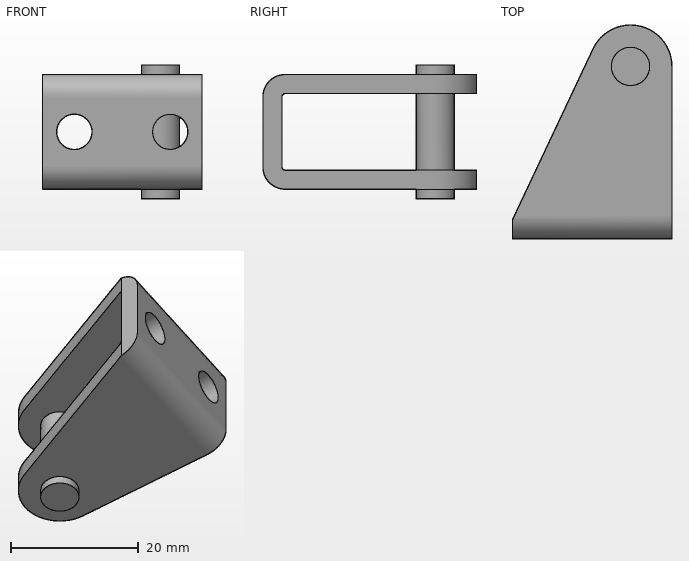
import cadquery as cq
import math

width = 25.0
length = 33.5
height = 18.0
thickness = 3.0
outer_bend_radius = 3.5
inner_bend_radius = 0.5

lug_radius = 6.5
pin_x = width - lug_radius
pin_y = length - lug_radius
pin_diameter = 6.0
pin_length = 21.0

hole_diameter = 5.5
hole_spacing = 15.0
first_hole_x = 5.0


def channel():
    """U-shaped bent plate, open toward +Y and symmetric about Z = 0."""
    outer = (
        cq.Workplane("XY")
        .box(width, length, height, centered=(False, False, True))
        .edges("|X and <Y")
        .fillet(outer_bend_radius)
    )
    inner = (
        cq.Workplane("XY")
        .box(width, length, height - 2 * thickness, centered=(False, False, True))
        .translate((0, thickness, 0))
        .edges("|X and <Y")
        .fillet(inner_bend_radius)
    )
    return outer.cut(inner)


def lug_outline():
    """Plan outline: square base, sloping side tangent to the rounded end."""
    slope_start_y = thickness
    center_distance = math.hypot(pin_x, pin_y - slope_start_y)
    angle_to_start = math.atan2(pin_y - slope_start_y, pin_x) + math.pi
    tangent_angle = angle_to_start - math.acos(lug_radius / center_distance)
    tangent_x = pin_x + lug_radius * math.cos(tangent_angle)
    tangent_y = pin_y + lug_radius * math.sin(tangent_angle)
    return (
        cq.Workplane("XY")
        .moveTo(0, 0)
        .lineTo(width, 0)
        .lineTo(width, pin_y)
        .threePointArc((pin_x, length), (tangent_x, tangent_y))
        .lineTo(0, slope_start_y)
        .close()
        .extrude(height / 2, both=True)
    )


def mounting_holes():
    """Two cutters along Y, just deep enough to pass through the web."""
    return (
        cq.Workplane("XZ")
        .pushPoints([(first_hole_x, 0), (first_hole_x + hole_spacing, 0)])
        .circle(hole_diameter / 2)
        .extrude(-thickness)
    )


def pin():
    """Cross pin through both lugs, protruding equally on each side."""
    return (
        cq.Workplane("XY")
        .center(pin_x, pin_y)
        .circle(pin_diameter / 2)
        .extrude(pin_length / 2, both=True)
    )


bracket = channel().intersect(lug_outline()).cut(mounting_holes())
result = bracket.union(pin())